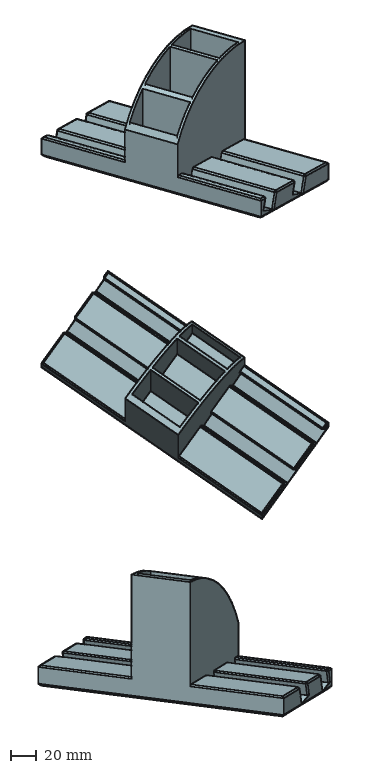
import cadquery as cq
import math

length = 210.0
height = 100.0
depth = 90.0

base_height = 16.8
top_chamfer = 1.3
bottom_chamfer = 2.0

slot_width = 12.0
slot_lean = math.radians(15)
slot_corner_height = 2.5
first_slot_setback = 34.9
slot_pitch = 39.0
slot_count = 2

tower_width = 50.5
side_wall = 2.5
back_wall = 5.9
front_wall = 3.0
divider_setbacks = [30.9, 66.8]
divider_thicknesses = [2.5, 3.2]
pocket_floor = base_height

back = depth / 2


def make_block(width, block_height):
    """Block over the full depth, standing on Z = 0."""
    return cq.Workplane("XY").box(width, depth, block_height, centered=(True, True, False))


def make_slot(setback):
    """Channel along X, leaning toward the back, with walls flared at both ends of the tray."""
    end = length / 2
    flare_start = end - top_chamfer
    outline = [
        (-end, top_chamfer),
        (-flare_start, 0),
        (flare_start, 0),
        (end, top_chamfer),
        (end, -slot_width - top_chamfer),
        (flare_start, -slot_width),
        (-flare_start, -slot_width),
        (-end, -slot_width - top_chamfer),
    ]
    wall_direction = (0, math.sin(slot_lean), math.cos(slot_lean))
    floor = cq.Plane((0, back - setback, slot_corner_height), xDir=(1, 0, 0), normal=wall_direction)
    return cq.Workplane(floor).polyline(outline).close().extrude(2 * base_height)


def make_base():
    base = make_block(length, base_height).faces("<Z").chamfer(bottom_chamfer)
    for index in range(slot_count):
        base = base.cut(make_slot(first_slot_setback + index * slot_pitch))
    return base.faces(">Z").chamfer(top_chamfer)


def make_pocket(rear_setback, front_setback):
    pocket_depth = front_setback - rear_setback
    center_y = back - (rear_setback + front_setback) / 2
    return (
        cq.Workplane("XY", origin=(0, center_y, pocket_floor))
        .rect(tower_width - 2 * side_wall, pocket_depth)
        .extrude(height)
    )


def make_tower():
    tower = make_block(tower_width, height)
    tower = tower.edges("|X and <Z").chamfer(bottom_chamfer)
    curve = cq.Workplane("YZ", origin=(0, back, 0)).circle(height).extrude(tower_width, both=True)
    tower = tower.intersect(curve)
    rear_setback = back_wall
    for setback, thickness in zip(divider_setbacks, divider_thicknesses):
        tower = tower.cut(make_pocket(rear_setback, setback))
        rear_setback = setback + thickness
    return tower.cut(make_pocket(rear_setback, depth - front_wall))


result = make_base().union(make_tower())